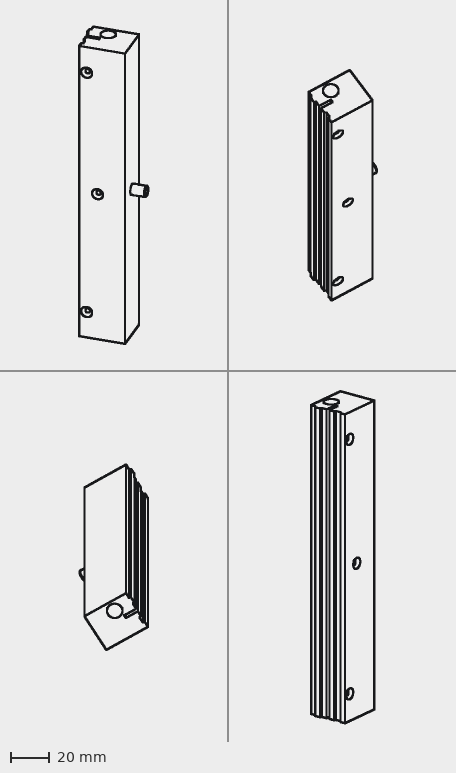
import cadquery as cq

length = 170.0
body_width = 25.0
body_depth = 22.0

rib_height = 1.0
rib_base_width = 4.0
rib_tip_width = 3.0
rib_offset = 6.0

slot_width = 1.7
slot_depth = 7.1
bore_diameter = 8.0
bore_x = 10.0
bore_y = 16.5

pin_diameter = 6.0
pin_chamfer = 0.5
overall_width = 34.0
pin_length = overall_width - rib_height - body_width

seat_diameter = 6.0
seat_floor_diameter = 2.5
seat_depth = (seat_diameter - seat_floor_diameter) / 2
seat_end_distance = 15.0
end_seat_x = 4.0

mid_y = body_depth / 2
mid_z = length / 2


def tapered_rib(center_y, tip_x):
    """Full-length trapezoidal bar from the side face X = 0 to tip_x."""
    outline = [
        (0, center_y - rib_base_width / 2),
        (tip_x, center_y - rib_tip_width / 2),
        (tip_x, center_y + rib_tip_width / 2),
        (0, center_y + rib_base_width / 2),
    ]
    return cq.Workplane("XY").polyline(outline).close().extrude(length)


def screw_seat(x, z):
    """Cone with a flat floor, sunk into the front face along +Y."""
    return cq.Workplane(
        cq.Solid.makeCone(
            seat_diameter / 2,
            seat_floor_diameter / 2,
            seat_depth,
            pnt=cq.Vector(x, 0, z),
            dir=cq.Vector(0, 1, 0),
        )
    )


body = cq.Workplane("XY").box(body_width, body_depth, length, centered=False)
body = body.union(tapered_rib(mid_y + rib_offset, -rib_height))
body = body.cut(tapered_rib(mid_y - rib_offset, rib_height))

slot = (
    cq.Workplane("XY")
    .box(slot_depth, slot_width, length, centered=False)
    .translate((0, mid_y - slot_width / 2, 0))
)
bore = cq.Workplane("XY").center(bore_x, bore_y).circle(bore_diameter / 2).extrude(length)
body = body.cut(slot).cut(bore)

seat_positions = [
    (end_seat_x, seat_end_distance),
    (bore_x, mid_z),
    (end_seat_x, length - seat_end_distance),
]
for seat_x, seat_z in seat_positions:
    body = body.cut(screw_seat(seat_x, seat_z))

pin = (
    cq.Workplane("YZ", origin=(body_width, mid_y, mid_z))
    .circle(pin_diameter / 2)
    .extrude(pin_length)
    .faces(">X")
    .chamfer(pin_chamfer)
)

result = body.union(pin)